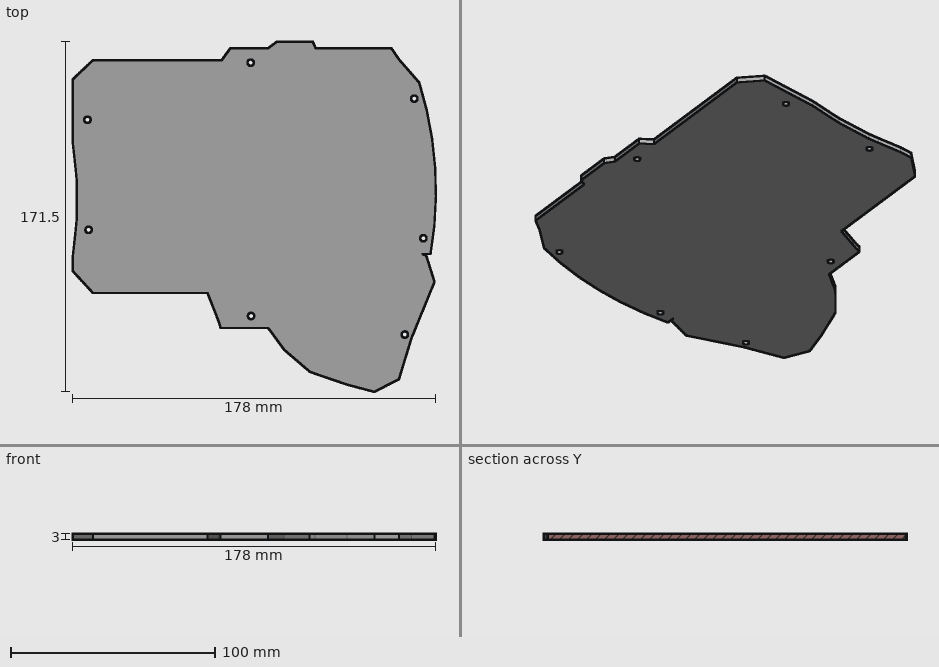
import cadquery as cq

thickness = 3.0
hole_diameter = 3.0

tab_top = 171.5
right_top = 168.4
left_top = 162.5
left_bottom = 48.5
centre_bottom = 31.3

corner_cut = 10.0
upper_cut_start = 153.0
lower_cut_start = 59.3
waist_level = 94.2
waist_profile = [(0, 28.1), (1.5, 15.1), (2.0, 9.6)]

bulge_top = (169.8, 151.5)
bulge_middle = (178.0, 97.9)
bulge_bottom = (175.3, 67.5)
step_inner_x = 171.4
step_outer_x = 173.2
step_drop = 0.5

hole_centres = [
    (87.2, 161.3),
    (167.3, 143.6),
    (7.3, 133.3),
    (7.8, 79.4),
    (171.8, 75.3),
    (87.4, 37.2),
    (162.7, 28.1),
]

upper_edge = [
    (corner_cut, left_top),
    (73.0, left_top),
    (77.2, right_top),
    (95.8, right_top),
    (100.0, tab_top),
    (117.7, tab_top),
    (119.0, right_top),
    (156.1, right_top),
    (160.0, 162.7),
    bulge_top,
]

lower_edge = [
    (step_inner_x, bulge_bottom[1]),
    (step_outer_x, bulge_bottom[1] - step_drop),
    (177.3, 54.0),
    (166.0, 26.5),
    (159.8, 6.2),
    (147.7, 0),
    (134.4, 3.5),
    (118.7, 8.9),
    (116.0, 10.0),
    (103.6, 20.6),
    (95.8, centre_bottom),
    (72.5, centre_bottom),
    (71.5, 34.4),
    (66.0, left_bottom),
    (corner_cut, left_bottom),
    (0, lower_cut_start),
]

waist_lower = [(depth, waist_level - distance) for depth, distance in waist_profile]
waist_upper = [(depth, waist_level + distance) for depth, distance in reversed(waist_profile)]

plate = (
    cq.Workplane("XY")
    .moveTo(0, upper_cut_start)
    .polyline(upper_edge, includeCurrent=True)
    .threePointArc(bulge_middle, bulge_bottom)
    .polyline(lower_edge + waist_lower + waist_upper, includeCurrent=True)
    .close()
    .extrude(thickness)
)

holes = cq.Workplane("XY").pushPoints(hole_centres).circle(hole_diameter / 2).extrude(thickness)

result = plate.cut(holes)